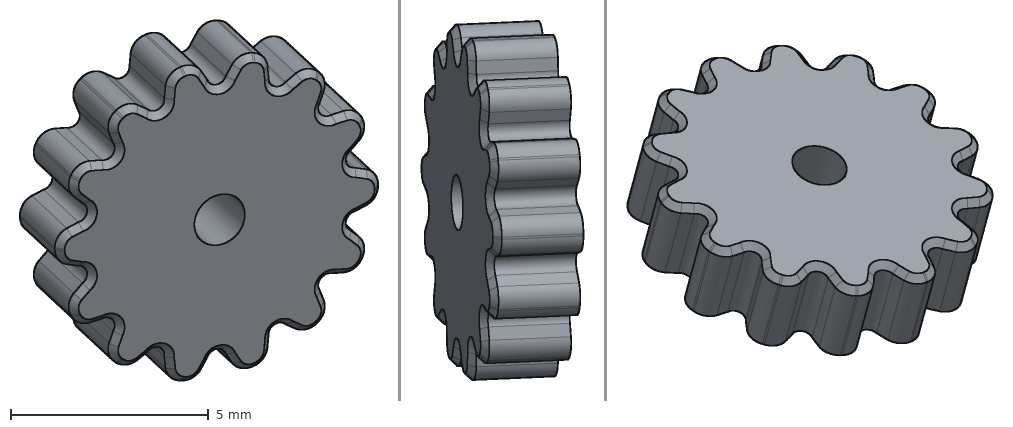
import cadquery as cq
import math

teeth = 14
outer_radius = 4.5
root_radius = 3.7
face_width = 2.3
edge_chamfer = 0.19
bore_diameter = 1.4

tip_half_width = 0.03
flank_top_radial = 4.17
flank_top_half_width = 0.5
flank_foot_radial = 3.84
flank_foot_half_width = 0.61

pitch_angle = 2 * math.pi / teeth


def in_tooth_frame(radial, across, tooth_angle):
    """Turn a point given along and across a tooth into gear coordinates."""
    return (
        radial * math.cos(tooth_angle) - across * math.sin(tooth_angle),
        radial * math.sin(tooth_angle) + across * math.cos(tooth_angle),
    )


def tip_round_middle():
    """Middle of the tip round: an arc tangent to the outer circle, ending on the flank."""
    start_angle = math.asin(tip_half_width / outer_radius)
    start_radial = outer_radius * math.cos(start_angle)
    chord_radial = flank_top_radial - start_radial
    chord_across = flank_top_half_width - tip_half_width
    chord = math.hypot(chord_radial, chord_across)
    half_sweep = math.atan2(-chord_radial, chord_across) - start_angle
    radius = chord / (2 * math.sin(half_sweep))
    middle_angle = start_angle + half_sweep
    center_radial = start_radial - radius * math.cos(start_angle)
    center_across = tip_half_width - radius * math.sin(start_angle)
    return (
        center_radial + radius * math.cos(middle_angle),
        center_across + radius * math.sin(middle_angle),
    )


def gear_outline():
    """Closed outline of rounded teeth; the gear's Y and Z are the sketch's x and y."""
    tip_radial = math.sqrt(outer_radius**2 - tip_half_width**2)
    round_radial, round_across = tip_round_middle()
    outline = cq.Workplane("YZ").moveTo(tip_radial, -tip_half_width)
    for tooth in range(teeth):
        angle = tooth * pitch_angle
        next_angle = angle + pitch_angle
        outline = (
            outline
            .threePointArc(
                in_tooth_frame(outer_radius, 0, angle),
                in_tooth_frame(tip_radial, tip_half_width, angle),
            )
            .threePointArc(
                in_tooth_frame(round_radial, round_across, angle),
                in_tooth_frame(flank_top_radial, flank_top_half_width, angle),
            )
            .lineTo(*in_tooth_frame(flank_foot_radial, flank_foot_half_width, angle))
            .threePointArc(
                in_tooth_frame(root_radius, 0, angle + pitch_angle / 2),
                in_tooth_frame(flank_foot_radial, -flank_foot_half_width, next_angle),
            )
            .lineTo(*in_tooth_frame(flank_top_radial, -flank_top_half_width, next_angle))
            .threePointArc(
                in_tooth_frame(round_radial, -round_across, next_angle),
                in_tooth_frame(tip_radial, -tip_half_width, next_angle),
            )
        )
    return outline.close()


gear = gear_outline().extrude(face_width).faces(">X").chamfer(edge_chamfer)

bore = cq.Workplane("YZ").circle(bore_diameter / 2).extrude(face_width)

result = gear.cut(bore)